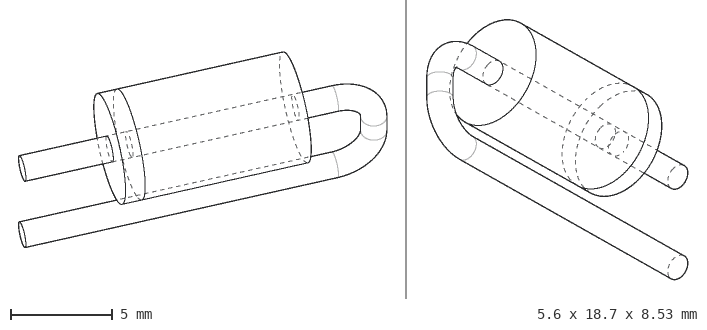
import cadquery as cq

overall_length = 18.69
body_diameter = 5.6
body_length = 9.53
band_length = 1.0
front_lead_length = 4.49
wire_diameter = 1.3
lead_spacing = 5.08
bend_radius = 2.0

band_front = front_lead_length
body_front = band_front + band_length
wire_rear = overall_length - wire_diameter / 2
bend_start = wire_rear - bend_radius


def cylinder_along_y(diameter, start, length):
    """Solid cylinder on the diode axis, from Y = start toward +Y."""
    plane = cq.Plane(origin=(0, start, 0), xDir=(1, 0, 0), normal=(0, 1, 0))
    return cq.Workplane(plane).circle(diameter / 2).extrude(length)


def bored_cylinder(start, length):
    """Section of the diode's barrel, bored through for the wire."""
    bore = cylinder_along_y(wire_diameter, start, length)
    return cylinder_along_y(body_diameter, start, length).cut(bore)


def make_wire():
    """One wire through the barrel, bent down and back through two quarter turns."""
    path = (
        cq.Workplane("YZ")
        .moveTo(0, 0)
        .lineTo(bend_start, 0)
        .tangentArcPoint((wire_rear, -bend_radius), relative=False)
        .lineTo(wire_rear, bend_radius - lead_spacing)
        .tangentArcPoint((bend_start, -lead_spacing), relative=False)
        .lineTo(0, -lead_spacing)
    )
    return cq.Workplane("XZ").circle(wire_diameter / 2).sweep(path)


body = bored_cylinder(body_front, body_length - band_length)
band = bored_cylinder(band_front, band_length)
wire = make_wire()

result = cq.Compound.makeCompound([body.val(), band.val(), wire.val()])